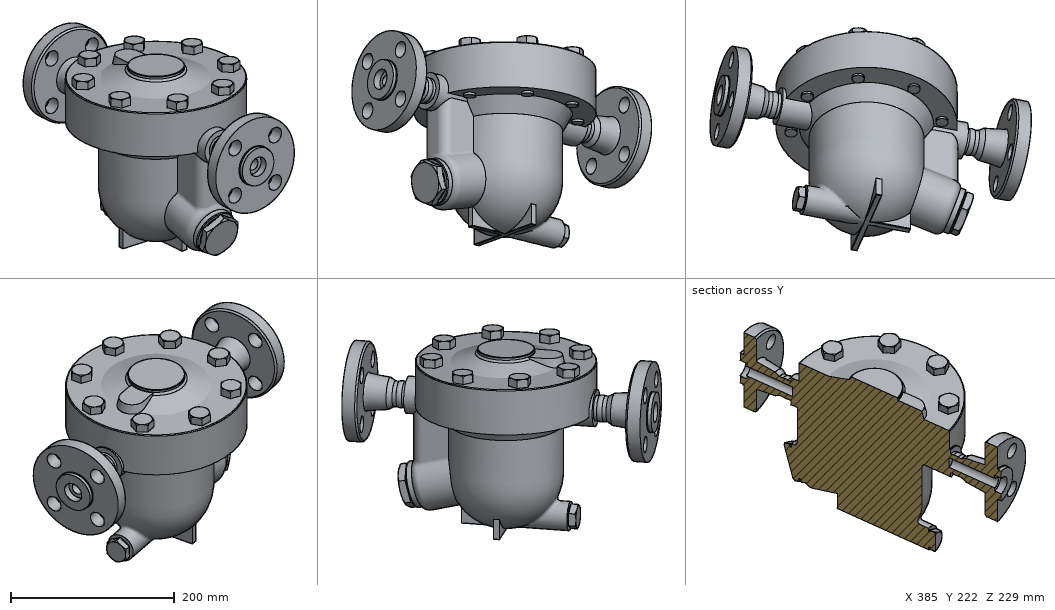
import cadquery as cq
import math


body_radius = 70.5
dome_top = 76.0
shoulder_bottom = 134.0
shoulder_radius = 82.5
foot_thickness = 7.7
foot_reach = 55.0
foot_height = 26.0
foot_chamfer = 0.8

flange_radius = 222.0 / 2
flange_bottom = 155.0
flange_top = 213.3
flange_chamfer = 1.0
dome_outer_radius = 67.5
dome_bend_radius = 56.2
dome_bend_height = 3.5
hub_radius = 70.0 / 2
hub_flare = 2.7
hub_base_height = 223.0
hub_top = 229.0
hub_chamfer = 0.8
cover_boss_radius = 19.0
cover_boss_reach = 73.0
cover_boss_top = 225.2
cover_boss_draft = 13

bolt_count = 8
bolt_circle_radius = 92.8
bolt_flats = 24.3
bolt_head_height = 10.8
bolt_turn = -22.5
bolt_tip_radius = 15.0 / 2
bolt_tip_length = 3.0

nozzle_height = 160.0
inlet_face = 187.0
outlet_face = 385 - inlet_face
inlet_boss_face = 112.8
outlet_boss_face = 123.2
port_boss_radius = 46.0 / 2
raised_face_radius = 49.5 / 2
raised_face_base_radius = 51.0 / 2
raised_face_base_height = 1.0
raised_face_depth = 5.8
pipe_flange_radius = 124.0 / 2
pipe_flange_back = 24.3
pipe_flange_chamfer = 2.5
hub_start = 27.5
hub_end = 52.0
reducer_end = 58.5
bead_start = 63.5
bead_end = 70.5
bead_rise = 0.8
nozzle_hub_radius = 46.0 / 2
nozzle_hub_end_radius = 40.0 / 2
nozzle_hub_flare = 1.0
pipe_radius = 32.0 / 2
hole_circle_radius = 44.5
hole_diameter = 20.0
hole_count = 4
socket_diameter = 25.0
socket_depth = 9.5
bore_diameter = 15.0
bore_depth = 77.0

drain_radius = 36.0 / 2
drain_face = 80.0
drain_fillet = 4.0
drain_fillet_bottom = 7.7
drain_plug_flats = 27.7
drain_neck_radius = 13.0
drain_plug_start = 81.2
drain_plug_end = 90.5

holder_tilt = 15
holder_radius = 70.0 / 2
holder_seam_x = 101.3
holder_seam_z = 48.5
holder_depth = 54.0
holder_end = 9.0
holder_fillet = 10.8
holder_collar_radius = 58.0 / 2
holder_collar_end = 15.5
holder_collar_chamfer = 1.0
holder_neck_radius = 24.3
holder_plug_start = 17.0
holder_plug_flats = 49.5
holder_plug_end = 26.5
riser_half_width = 20.8
riser_root = 52.0
riser_reach = 113.5
riser_corner = 12.7
riser_fillet = 6.5
riser_base = 65.5
riser_foot_low = 77.0
riser_foot_high = 84.7


def hexagon_corners(flats):
    return flats / math.cos(math.radians(30))


def revolve_profile(profile):
    """Revolve an XZ profile about the Z axis."""
    return profile.close().revolve(360, (0, 0, 0), (0, 1, 0))


def make_vessel():
    dome_radius = (body_radius**2 + dome_top**2) / (2 * dome_top)
    dome_side = dome_radius * math.sqrt(0.5)
    profile = (
        cq.Workplane("XZ")
        .moveTo(0, 0)
        .threePointArc((dome_side, dome_radius - dome_side), (body_radius, dome_top))
        .lineTo(body_radius, shoulder_bottom)
        .lineTo(shoulder_radius, flange_bottom)
        .lineTo(0, flange_bottom)
    )
    return revolve_profile(profile)


def make_cover_flange():
    height = flange_top - flange_bottom
    disc = cq.Workplane("XY").workplane(offset=flange_bottom).circle(flange_radius).extrude(height)
    return disc.faces(">Z").edges().chamfer(flange_chamfer)


def make_dome_and_hub():
    flare_start = hub_base_height + hub_flare
    bend_z = flange_top + dome_bend_height
    profile = (
        cq.Workplane("XZ")
        .moveTo(0, flange_bottom)
        .lineTo(dome_outer_radius, flange_bottom)
        .lineTo(dome_outer_radius, flange_top)
        .lineTo(dome_bend_radius, bend_z)
        .lineTo(hub_radius + hub_flare, hub_base_height)
        .lineTo(hub_radius, flare_start)
        .lineTo(hub_radius, hub_top - hub_chamfer)
        .lineTo(hub_radius - hub_chamfer, hub_top)
        .lineTo(0, hub_top)
    )
    return revolve_profile(profile)


def make_cover_boss():
    """Tapered lug running from the hub outward to a half-round end."""
    return (
        cq.Workplane("XY", origin=(-cover_boss_reach / 2, 0, flange_top))
        .slot2D(cover_boss_reach, 2 * cover_boss_radius)
        .extrude(cover_boss_top - flange_top, taper=cover_boss_draft)
    )


def make_hex_head(flats, height):
    """Hexagonal head standing on Z = 0, its outer corners turned off at 30 degrees."""
    corners = hexagon_corners(flats)
    crown = (corners - flats) / 2
    turned = (
        cq.Workplane("XY")
        .circle(corners / 2)
        .extrude(height)
        .faces(">Z")
        .chamfer(crown * math.tan(math.radians(30)), crown)
    )
    return cq.Workplane("XY").polygon(6, corners).extrude(height).intersect(turned)


def make_cover_bolts():
    bolts = cq.Workplane("XY")
    for index in range(bolt_count):
        direction = 360 / bolt_count * (index + 0.5)
        angle = math.radians(direction)
        x = bolt_circle_radius * math.cos(angle)
        y = bolt_circle_radius * math.sin(angle)
        head = make_hex_head(bolt_flats, bolt_head_height)
        head = head.rotate((0, 0, 0), (0, 0, 1), direction + bolt_turn).translate((x, y, flange_top))
        tip = (
            cq.Workplane("XY", origin=(x, y, flange_bottom))
            .circle(bolt_tip_radius)
            .extrude(-bolt_tip_length)
        )
        bolts = bolts.add(head).add(tip)
    return bolts


def make_feet():
    feet = cq.Workplane("XY").box(foot_reach, foot_thickness, foot_height, centered=(False, True, False))
    cross = cq.Workplane("XY").box(foot_thickness, 2 * foot_reach, foot_height, centered=(True, True, False))
    return feet.union(cross).faces("<Z").edges().chamfer(foot_chamfer)


def make_vessel_with_drain():
    """The fillet leaves out the lowest part, where the boss runs tangent to the dome."""
    boss = cq.Workplane("YZ", origin=(0, 0, drain_radius)).circle(drain_radius).extrude(-drain_face)
    joined = make_vessel().union(boss)
    blend_zone = cq.Workplane("XY", origin=(0, 0, drain_fillet_bottom)).box(
        body_radius + drain_face, 2 * body_radius, body_radius, centered=(True, True, False)
    )
    blend = (
        joined.intersect(blend_zone.translate((-(body_radius + drain_face) / 2, 0, 0)))
        .edges(cq.selectors.BoxSelector((-body_radius, -4, 11.5), (-19.2, 4, 2 * drain_radius + 11.5)))
        .fillet(drain_fillet)
    )
    return joined.union(blend)


def make_drain_plug():
    """The head stands off the boss on a short round neck."""
    neck = cq.Workplane("XY").circle(drain_neck_radius).extrude(drain_plug_start - drain_face)
    head = make_hex_head(drain_plug_flats, drain_plug_end - drain_plug_start)
    plug = neck.union(head.translate((0, 0, drain_plug_start - drain_face)))
    return plug.rotate((0, 0, 0), (0, 1, 0), -90).translate((-drain_face, 0, drain_radius))


def holder_plane():
    """Plane at the holder's seam whose normal points along the tilted axis."""
    tilt = math.radians(holder_tilt)
    return cq.Plane(
        origin=(holder_seam_x, 0, holder_seam_z),
        xDir=(math.sin(tilt), 0, math.cos(tilt)),
        normal=(math.cos(tilt), 0, -math.sin(tilt)),
    )


def make_holder():
    plane = holder_plane()
    boss = (
        cq.Workplane(plane)
        .workplane(offset=-holder_depth)
        .circle(holder_radius)
        .extrude(holder_depth + holder_end)
        .faces(">X")
        .edges()
        .fillet(holder_fillet)
    )
    riser_foot = cq.selectors.BoxSelector(
        (body_radius, -riser_half_width, riser_foot_low),
        (riser_reach + 0.5, riser_half_width, riser_foot_high),
    )
    joined = boss.union(make_riser()).edges(riser_foot).fillet(riser_fillet)
    collar = cq.Workplane(plane).circle(holder_collar_radius).extrude(holder_collar_end)
    collar = collar.faces(">X").edges().chamfer(holder_collar_chamfer)
    neck = cq.Workplane(plane).circle(holder_neck_radius).extrude(holder_plug_start)
    head = make_hex_head(holder_plug_flats, holder_plug_end - holder_plug_start).val()
    head = head.moved(cq.Location((0, 0, holder_plug_start))).moved(cq.Location(plane))
    return joined.union(collar).union(neck).union(cq.Workplane(head))


def make_riser():
    return (
        cq.Workplane("XY", origin=(0, 0, riser_base))
        .center((riser_root + riser_reach) / 2, 0)
        .rect(riser_reach - riser_root, 2 * riser_half_width)
        .extrude(flange_bottom - riser_base)
        .edges("|Z and >X")
        .fillet(riser_corner)
    )


def make_nozzle(face, boss_face):
    """Nozzle along +Z with its sealing face at Z = face; turned into place by the caller."""
    raised_face_step = face - raised_face_depth + raised_face_base_height
    bead_middle = (bead_start + bead_end) / 2
    profile = (
        cq.Workplane("XZ")
        .moveTo(0, 0)
        .lineTo(port_boss_radius, 0)
        .lineTo(port_boss_radius, boss_face)
        .lineTo(pipe_radius, boss_face)
        .lineTo(pipe_radius, face - bead_end)
        .threePointArc((pipe_radius + bead_rise, face - bead_middle), (pipe_radius, face - bead_start))
        .lineTo(pipe_radius, face - reducer_end)
        .lineTo(nozzle_hub_end_radius, face - hub_end)
        .lineTo(nozzle_hub_radius, face - hub_start)
        .lineTo(nozzle_hub_radius + nozzle_hub_flare, face - pipe_flange_back)
        .lineTo(pipe_flange_radius - pipe_flange_chamfer, face - pipe_flange_back)
        .lineTo(pipe_flange_radius, face - pipe_flange_back + pipe_flange_chamfer)
        .lineTo(pipe_flange_radius, face - raised_face_depth)
        .lineTo(raised_face_base_radius, face - raised_face_depth)
        .lineTo(raised_face_base_radius, raised_face_step)
        .lineTo(raised_face_radius, raised_face_step)
        .lineTo(raised_face_radius, face)
        .lineTo(0, face)
    )
    nozzle = revolve_profile(profile)
    holes = (
        cq.Workplane("XY", origin=(0, 0, face))
        .polarArray(hole_circle_radius, 180 / hole_count, 360, hole_count)
        .circle(hole_diameter / 2)
        .extrude(-pipe_flange_back)
    )
    return nozzle.cut(holes)


def make_bore(face):
    socket = cq.Workplane("XY", origin=(0, 0, face)).circle(socket_diameter / 2).extrude(-socket_depth)
    bore = cq.Workplane("XY", origin=(0, 0, face)).circle(bore_diameter / 2).extrude(-bore_depth)
    return socket.union(bore)


def turn_to_side(shape, side):
    """Turn a shape built along +Z to point along +X (side 1) or -X (side -1)."""
    return shape.rotate((0, 0, 0), (0, 1, 0), side * 90).translate((0, 0, nozzle_height))


result = (
    make_vessel_with_drain()
    .union(make_cover_flange())
    .union(make_dome_and_hub())
    .union(make_cover_boss())
    .union(make_feet())
    .union(make_drain_plug())
    .union(make_holder())
)
for bolt in make_cover_bolts().vals():
    result = result.union(bolt)
for side, face, boss_face in ((-1, inlet_face, inlet_boss_face), (1, outlet_face, outlet_boss_face)):
    result = result.union(turn_to_side(make_nozzle(face, boss_face), side))
    result = result.cut(turn_to_side(make_bore(face), side))